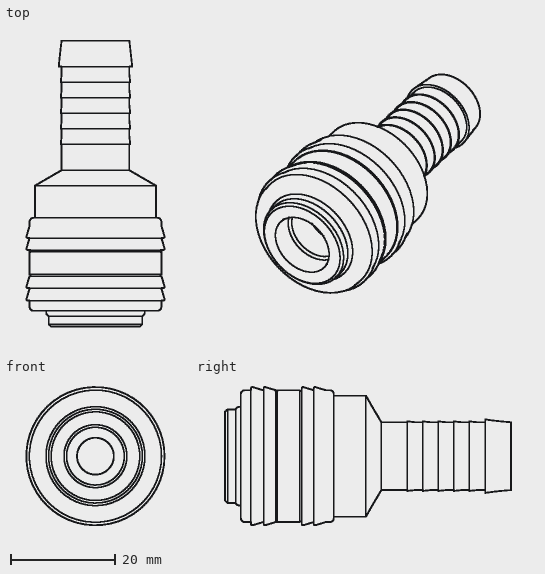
import cadquery as cq
import math

LENGTH = 55.0

NOSE_RADIUS = 9.0
NOSE_CHAMFER = 0.5
LIP_RADIUS = 9.5
LIP_FRONT = 2.0
LIP_FILLET = 0.8

SLEEVE_FRONT = 3.0
SLEEVE_BACK = 20.95
SLEEVE_RADIUS = 12.7
SLEEVE_FILLET = 0.8
RIB_RADIUS = 13.3
RIB_FRONTS = (5.0, 7.4, 14.75, 17.05)
RIB_LENGTH = 2.3
RIB_TIP_FILLET = 0.3
RELIEF_DEPTH = 0.15
RELIEF_LENGTH = 0.35

BODY_RADIUS = 11.65
CONE_FRONT = 27.1
CONE_BACK = 30.1
STEM_RADIUS = 6.55

BARB_RADIUS = 6.7
BARB_COUNT = 5
BARB_LENGTH = 1.5
BARB_PITCH = 2 * BARB_LENGTH
FIRST_BARB = 35.1
END_BARB_RADIUS = 7.1
END_BARB_FRONT = 50.0

SOCKET_RADIUS = 6.05
SOCKET_DEPTH = 4.75
SEAT_RADIUS = 5.55
SEAT_CONE_LENGTH = 0.5
SEAT_DEPTH = 11.0
PASSAGE_RADIUS = 3.5


def revolve_profile(points):
    """Revolve (radius, Y) points, closed along the axis, about Y."""
    outline = [(0, points[0][1]), *points, (0, points[-1][1])]
    return cq.Workplane("XY").polyline(outline).close().revolve(360, (0, 0, 0), (0, 1, 0))


def cylinder(radius, front, back):
    return revolve_profile([(radius, front), (radius, back)])


def barb(tip_radius, front, back):
    """Sharp ring with a square front shoulder, tapering to the stem at its back."""
    return revolve_profile([(tip_radius, front), (STEM_RADIUS, back)])


def rib(front):
    """Sawtooth ring with a square front shoulder and a rounded tip tangent to its taper."""
    back = front + RIB_LENGTH
    center_radius = RIB_RADIUS - RIB_TIP_FILLET
    center_y = front + RIB_TIP_FILLET

    run = back - center_y
    drop = center_radius - SLEEVE_RADIUS
    reach = math.hypot(run, drop)
    taper_angle = math.acos(RIB_TIP_FILLET / reach)
    tangent_angle = math.atan2(run, -drop) - taper_angle
    taper_start = (
        center_radius + RIB_TIP_FILLET * math.cos(tangent_angle),
        center_y + RIB_TIP_FILLET * math.sin(tangent_angle),
    )
    profile = (
        cq.Workplane("XY")
        .moveTo(0, front)
        .lineTo(center_radius, front)
        .threePointArc((RIB_RADIUS, center_y), taper_start)
        .lineTo(SLEEVE_RADIUS, back)
        .lineTo(0, back)
        .close()
    )
    return profile.revolve(360, (0, 0, 0), (0, 1, 0))


def make_nose():
    nose = cylinder(NOSE_RADIUS, 0, SLEEVE_FRONT).faces("<Y").chamfer(NOSE_CHAMFER)
    lip = cylinder(LIP_RADIUS, LIP_FRONT, SLEEVE_FRONT + SLEEVE_FILLET)
    return nose.union(lip.faces("<Y").fillet(LIP_FILLET))


def make_sleeve():
    sleeve = cylinder(SLEEVE_RADIUS, SLEEVE_FRONT, SLEEVE_BACK)
    sleeve = sleeve.faces("<Y or >Y").edges().fillet(SLEEVE_FILLET)
    for front in RIB_FRONTS:
        sleeve = sleeve.union(rib(front))
    for front in (RIB_FRONTS[1] + RIB_LENGTH, RIB_FRONTS[2] - RELIEF_LENGTH):
        back = front + RELIEF_LENGTH
        relief = cylinder(RIB_RADIUS, front, back)
        relief = relief.cut(cylinder(SLEEVE_RADIUS - RELIEF_DEPTH, front, back))
        sleeve = sleeve.cut(relief)
    return sleeve


def make_hose_tail():
    tail = revolve_profile([
        (BODY_RADIUS, SLEEVE_FRONT + SLEEVE_FILLET),
        (BODY_RADIUS, CONE_FRONT),
        (STEM_RADIUS, CONE_BACK),
        (STEM_RADIUS, LENGTH),
    ])
    for index in range(BARB_COUNT):
        front = FIRST_BARB + index * BARB_PITCH
        tail = tail.union(barb(BARB_RADIUS, front, front + BARB_LENGTH))
    return tail.union(barb(END_BARB_RADIUS, END_BARB_FRONT, LENGTH))


def make_bore():
    bore = revolve_profile([
        (SOCKET_RADIUS, 0),
        (SOCKET_RADIUS, SOCKET_DEPTH),
        (SEAT_RADIUS, SOCKET_DEPTH + SEAT_CONE_LENGTH),
        (SEAT_RADIUS, SEAT_DEPTH),
    ])
    return bore.union(cylinder(PASSAGE_RADIUS, 0, LENGTH))


outside = make_nose().union(make_sleeve()).union(make_hose_tail())
result = outside.cut(make_bore())